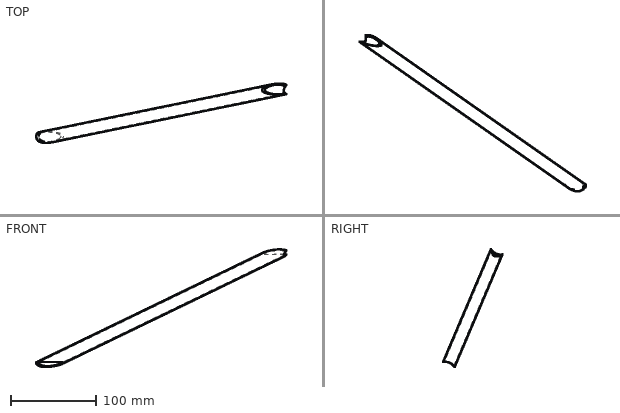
import cadquery as cq

LOWER_NODE_X = -155.0
UPPER_NODE_X = 158.8
RAIL_OFFSET_Y = 32.2
RAIL_OFFSET_Z = 76.0
RAIL_RADIUS = 13.0
BRACE_DIAMETER = 15.0
WALL = 1.5
POST_DIAMETER = BRACE_DIAMETER
POST_AXIS_X = 151.2
CUTTER_LENGTH = 175.8

lower_node = cq.Vector(LOWER_NODE_X, -RAIL_OFFSET_Y, -RAIL_OFFSET_Z)
upper_node = cq.Vector(UPPER_NODE_X, RAIL_OFFSET_Y, RAIL_OFFSET_Z)


def make_tube():
    """Straight round tube from rail axis to rail axis."""
    brace = upper_node - lower_node
    section_plane = cq.Plane(origin=lower_node.toTuple(), normal=brace.toTuple())
    outer_radius = BRACE_DIAMETER / 2
    return (
        cq.Workplane(section_plane)
        .circle(outer_radius)
        .circle(outer_radius - WALL)
        .extrude(brace.Length)
    )


def make_cutter(center, direction, radius):
    """Solid cylinder centred on a point, used to cope a tube end."""
    plane = cq.Plane(origin=center.toTuple(), normal=direction.toTuple())
    return cq.Workplane(plane).circle(radius).extrude(CUTTER_LENGTH / 2, both=True)


result = make_tube()

rail_direction = cq.Vector(1, 0, 0)
for rail_node in (lower_node, upper_node):
    result = result.cut(make_cutter(rail_node, rail_direction, RAIL_RADIUS))

post_center = cq.Vector(POST_AXIS_X, RAIL_OFFSET_Y, RAIL_OFFSET_Z)
post_direction = cq.Vector(0, RAIL_OFFSET_Y, RAIL_OFFSET_Z)
result = result.cut(make_cutter(post_center, post_direction, POST_DIAMETER / 2))